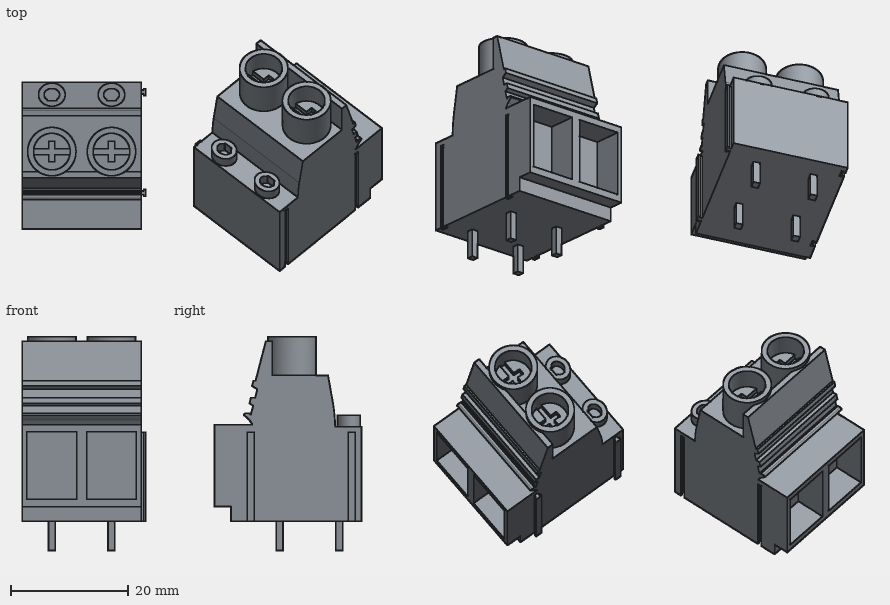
import cadquery as cq


pole_count = 2
pole_pitch = 10.16
housing_width = pole_count * pole_pitch
housing_depth = 25.07
pole_centers = [(i + 0.5) * pole_pitch for i in range(pole_count)]

rear_ledge_top = 16.15
shoulder_top = 24.9
flange_top = 30.7
front_shelf_top = 16.5
front_step_height = 2.52
front_step_depth = 22.25
flange_rear_depth = 15.25
flange_front_depth = 16.33
rear_ledge_depth = 4.47
shoulder_rear_depth = 5.7

rear_wall_arc_middle = (4.57, 17.9)
rear_wall_arc_end = (4.8, 19.85)

upper_tooth = [(18.07, 24.0), (18.45, 24.0), (18.67, 23.07), (17.78, 22.5)]
lower_tooth = [(18.14, 21.1), (18.88, 21.1), (19.12, 20.1), (18.49, 19.7)]

lip_top = [(18.88, 18.25), (19.2, 18.43), (19.7, 18.43)]
lip_nose_middle = (19.95, 18.33)
lip_tip = (20.05, 18.1)
lip_underside = [(19.15, 17.3), (18.62, front_shelf_top)]

tower_depth = 11.85
tower_diameter = 8.25
tower_top = 31.5
bore_diameter = 6.25
screw_top = 27.5
screw_height = 4.0
screw_slot_width = 1.05
screw_cross_length = 3.5
screw_slot_depth = 1.0

boss_depth = 2.15
boss_radius_x = 2.27
boss_radius_y = 1.97
boss_height = 1.95
test_hole_radius_x = 1.33
test_hole_radius_y = 1.05
test_hole_flat_width = 1.6

entry_width = 8.5
entry_height = 11.5
entry_bottom = 3.8
entry_pocket_depth = 5.4

joint_depths = [1.7, 18.88]
joint_height = 15.2
joint_neck_width = 0.7
joint_neck_length = 0.4
joint_head_width = 1.2
joint_total_length = 0.8

pin_size = 1.2
pin_length = 5.0
rear_pin_depth = 3.8
pin_depths = [rear_pin_depth, rear_pin_depth + pole_pitch]


def box_at(x_center, depth_center, z_bottom, size_x, size_y, size_z):
    """Box centred at (x, depth behind the rear face) and standing on z_bottom."""
    return (
        cq.Workplane("XY")
        .box(size_x, size_y, size_z, centered=(True, True, False))
        .translate((x_center, -depth_center, z_bottom))
    )


def cylinder_at(x_center, depth_center, z_bottom, diameter, height):
    return (
        cq.Workplane("XY", origin=(x_center, -depth_center, z_bottom))
        .circle(diameter / 2)
        .extrude(height)
    )


def ellipse_at(x_center, depth_center, z_bottom, radius_x, radius_y, height):
    return (
        cq.Workplane("XY", origin=(x_center, -depth_center, z_bottom))
        .ellipse(radius_x, radius_y)
        .extrude(height)
    )


def yz_points(depth_height_pairs):
    """Points in the YZ plane from (depth behind the rear face, height) pairs."""
    return [(-depth, height) for depth, height in depth_height_pairs]


def side_profile_body():
    """Housing outline in the YZ plane, extruded across the full width."""
    rear_wall_arc = yz_points([rear_wall_arc_middle, rear_wall_arc_end])
    lip_nose_arc = yz_points([lip_nose_middle, lip_tip])
    flange = [
        (shoulder_rear_depth, shoulder_top),
        (flange_rear_depth, shoulder_top),
        (flange_rear_depth, flange_top),
        (flange_front_depth, flange_top),
    ]
    front_block = [
        (housing_depth, front_shelf_top),
        (housing_depth, front_step_height),
        (front_step_depth, front_step_height),
        (front_step_depth, 0),
    ]
    outline = cq.Workplane("YZ").moveTo(0, 0)
    outline = outline.lineTo(0, rear_ledge_top).lineTo(-rear_ledge_depth, rear_ledge_top)
    outline = outline.threePointArc(*rear_wall_arc)
    for point in yz_points(flange + upper_tooth + lower_tooth + lip_top):
        outline = outline.lineTo(*point)
    outline = outline.threePointArc(*lip_nose_arc)
    for point in yz_points(lip_underside + front_block):
        outline = outline.lineTo(*point)
    return outline.close().extrude(housing_width)


def joint_t_shape(side_face_x, depth):
    """Upright T-shaped bar running into +X from a side face: neck first, then the head."""
    head_length = joint_total_length - joint_neck_length
    neck_x = side_face_x + joint_neck_length / 2
    head_x = side_face_x + joint_neck_length + head_length / 2
    neck = box_at(neck_x, depth, 0, joint_neck_length, joint_neck_width, joint_height)
    head = box_at(head_x, depth, 0, head_length, joint_head_width, joint_height)
    return neck.union(head)


def test_hole(x_center):
    """Elliptical hole with its front side squared off by a flat."""
    hole = ellipse_at(
        x_center,
        boss_depth,
        rear_ledge_top,
        test_hole_radius_x,
        test_hole_radius_y,
        boss_height,
    )
    flat = box_at(
        x_center,
        boss_depth + test_hole_radius_y / 2,
        rear_ledge_top,
        test_hole_flat_width,
        test_hole_radius_y,
        boss_height,
    )
    return hole.union(flat)


def wire_entry(x_center):
    return box_at(
        x_center,
        housing_depth - entry_pocket_depth / 2,
        entry_bottom,
        entry_width,
        entry_pocket_depth,
        entry_height,
    )


def make_housing():
    body = side_profile_body()
    screw_bottom = screw_top - screw_height
    tower_height = tower_top - shoulder_top
    for x in pole_centers:
        tower = cylinder_at(x, tower_depth, shoulder_top, tower_diameter, tower_height)
        boss = ellipse_at(x, boss_depth, rear_ledge_top, boss_radius_x, boss_radius_y, boss_height)
        body = body.union(tower).union(boss)
        body = body.cut(cylinder_at(x, tower_depth, screw_bottom, bore_diameter, tower_top - screw_bottom))
        body = body.cut(test_hole(x))
        body = body.cut(wire_entry(x))
    for depth in joint_depths:
        body = body.cut(joint_t_shape(0, depth))
        body = body.union(joint_t_shape(housing_width, depth))
    return body


def make_screw(x_center):
    """Clamping screw head filling the tower bore, with a slot crossed by a shorter slot."""
    screw = cylinder_at(x_center, tower_depth, screw_top - screw_height, bore_diameter, screw_height)
    slot_floor = screw_top - screw_slot_depth
    long_slot = box_at(x_center, tower_depth, slot_floor, bore_diameter, screw_slot_width, screw_slot_depth)
    cross_slot = box_at(x_center, tower_depth, slot_floor, screw_slot_width, screw_cross_length, screw_slot_depth)
    return screw.cut(long_slot).cut(cross_slot)


def make_pin(x_center, depth):
    """Square solder pin standing against the underside of the housing."""
    return box_at(x_center, depth, -pin_length, pin_size, pin_size, pin_length)


housing = make_housing()
screws = [make_screw(x) for x in pole_centers]
pins = [make_pin(x, depth) for x in pole_centers for depth in pin_depths]

result = cq.Compound.makeCompound(
    [housing.val()]
    + [screw.val() for screw in screws]
    + [pin.val() for pin in pins]
)